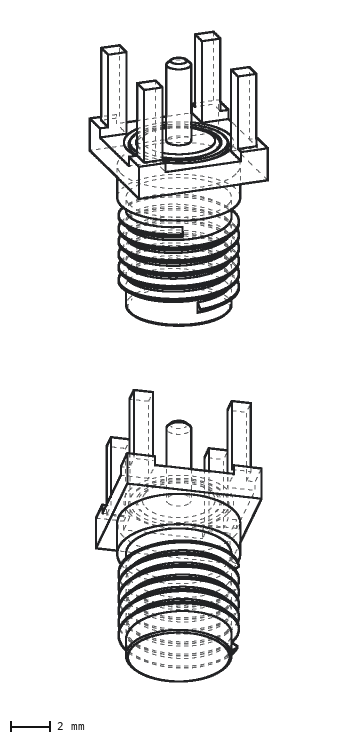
import cadquery as cq

collar_base = 5.98
flange_base = 7.74
flange_top = 9.0
pad_top = 9.5
disc_top = 9.1
pin_top = 13.47

flange_width = 7.0
leg_pitch = 5.1
leg_width = 1.0
leg_inner_edge = (leg_pitch - leg_width) / 2
pad_width = flange_width / 2 - leg_inner_edge
pad_center = (flange_width / 2 + leg_inner_edge) / 2

collar_diameter = 6.26
barrel_diameter = 5.36
barrel_chamfer = 0.1

outer_groove_outer_radius = 2.79
outer_groove_root_radius = 2.55
outer_groove_inner_radius = 2.48
outer_groove_depth = 0.12
disc_groove_outer_radius = 2.17
disc_groove_root_radius = 2.09
disc_radius = 1.85
disc_groove_depth = 0.05

pin_diameter = 1.27
pin_chamfer = 0.21

inch = 25.4
threads_per_inch = 36
thread_pitch = inch / threads_per_inch
thread_length = 4.2
thread_start = 0.97
thread_diameter = 6.12
thread_root_width = 0.57
thread_crest_width = 0.09
thread_embed = 0.05


def make_body():
    """Square flange above a round collar and barrel."""
    barrel = cq.Workplane("XY").circle(barrel_diameter / 2).extrude(flange_base)
    barrel = barrel.faces("<Z").chamfer(barrel_chamfer)
    collar = (
        cq.Workplane("XY")
        .workplane(offset=collar_base)
        .circle(collar_diameter / 2)
        .extrude(flange_base - collar_base)
    )
    flange = (
        cq.Workplane("XY")
        .workplane(offset=flange_base)
        .rect(flange_width, flange_width)
        .extrude(flange_top - flange_base)
    )
    return barrel.union(collar).union(flange)


def make_thread():
    """Right-handed ridge that starts at +X and climbs round the barrel."""
    root_radius = barrel_diameter / 2
    crest_radius = thread_diameter / 2
    flank_slope = (thread_root_width - thread_crest_width) / 2 / (crest_radius - root_radius)
    embedded_half_width = thread_root_width / 2 + thread_embed * flank_slope
    crest_half_width = thread_crest_width / 2
    helix = cq.Wire.makeHelix(thread_pitch, thread_length, root_radius)
    ridge = (
        cq.Workplane("XZ")
        .moveTo(root_radius - thread_embed, -embedded_half_width)
        .lineTo(crest_radius, -crest_half_width)
        .lineTo(crest_radius, crest_half_width)
        .lineTo(root_radius - thread_embed, embedded_half_width)
        .close()
        .sweep(cq.Workplane(helix), isFrenet=True)
    )
    return ridge.translate((0, 0, thread_start))


def revolve_section(points):
    """Ring or disc turned about Z from a closed (radius, height) outline."""
    return cq.Workplane("XZ").polyline(points).close().revolve(360, (0, 0), (0, 1))


def make_outer_groove():
    """Cutter for the V-groove in the flange top."""
    return revolve_section([
        (outer_groove_outer_radius, flange_top),
        (outer_groove_root_radius, flange_top - outer_groove_depth),
        (outer_groove_inner_radius, flange_top),
    ])


def make_disc_groove():
    """Cutter for the recess that surrounds the insulator disc."""
    groove_floor = flange_top - disc_groove_depth
    return revolve_section([
        (0, flange_top),
        (disc_groove_outer_radius, flange_top),
        (disc_groove_root_radius, groove_floor),
        (0, groove_floor),
    ])


def make_disc():
    """Tapered insulator disc that stands slightly above the flange."""
    groove_floor = flange_top - disc_groove_depth
    return revolve_section([
        (0, groove_floor),
        (disc_groove_root_radius, groove_floor),
        (disc_radius, disc_top),
        (0, disc_top),
    ])


def make_pin():
    """Center pin with a chamfered tip."""
    pin = (
        cq.Workplane("XY")
        .workplane(offset=flange_base)
        .circle(pin_diameter / 2)
        .extrude(pin_top - flange_base)
    )
    return pin.faces(">Z").chamfer(pin_chamfer)


def make_corner(x_side, y_side):
    """Raised corner pad and the square leg standing on it."""
    pad = (
        cq.Workplane("XY")
        .workplane(offset=flange_base)
        .center(x_side * pad_center, y_side * pad_center)
        .rect(pad_width, pad_width)
        .extrude(pad_top - flange_base)
    )
    leg = (
        cq.Workplane("XY")
        .workplane(offset=flange_base)
        .center(x_side * leg_pitch / 2, y_side * leg_pitch / 2)
        .rect(leg_width, leg_width)
        .extrude(pin_top - flange_base)
    )
    return pad.union(leg)


result = make_body().cut(make_outer_groove()).cut(make_disc_groove())
result = result.union(make_disc()).union(make_pin())
for x_side in (-1, 1):
    for y_side in (-1, 1):
        result = result.union(make_corner(x_side, y_side))
result = result.union(make_thread())